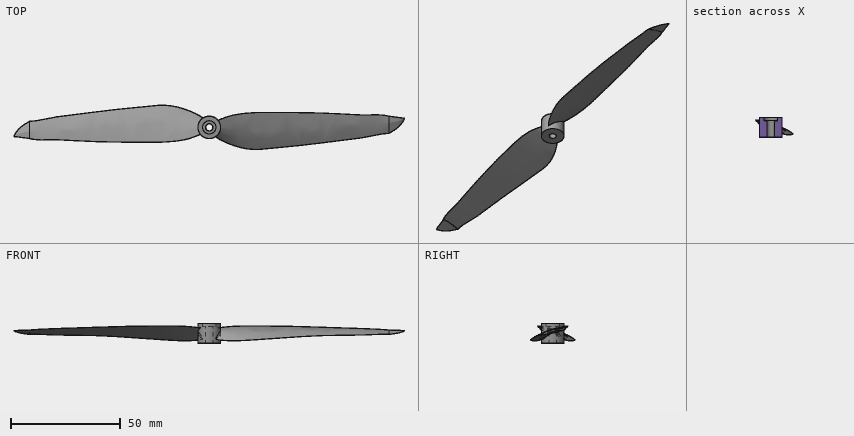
import cadquery as cq

diameter = 177.6
blade_tip_x = diameter / 2

hub_radius = 5.2
hub_height = 9.0
shaft_radius = 1.6
counterbore_radius = 3.0
counterbore_depth = 1.5

ridge_fraction = 0.4
root_thickness = 1.2
end_thickness = 0.5
tip_start_x = 81.7

blade_stations = [
    (3.0, (2.8, 2.5), (-4.5, -2.7)),
    (8.0, (4.8, 3.0), (-7.1, -3.4)),
    (14.2, (6.2, 3.4), (-9.2, -3.4)),
    (20.5, (6.8, 3.4), (-10.1, -3.0)),
    (30.2, (7.0, 3.4), (-9.5, -2.3)),
    (40.9, (6.8, 3.2), (-8.3, -1.6)),
    (51.5, (6.5, 2.8), (-7.1, -1.0)),
    (62.2, (6.0, 2.5), (-5.7, -0.9)),
    (72.8, (5.7, 2.1), (-4.3, -0.7)),
    (tip_start_x, (5.2, 1.6), (-2.8, -0.5)),
]

tip_stations = [
    blade_stations[-1],
    (84.4, (4.8, 1.5), (-1.2, -0.2)),
    (87.0, (4.5, 1.5), (1.0, 0.4)),
    (blade_tip_x, (4.3, 1.2), (3.7, 1.0)),
]


def ridge_point(x, leading, trailing, thickness):
    """Highest point of a section, raised above its chord line along Z."""
    y, z = (a + ridge_fraction * (b - a) for a, b in zip(leading, trailing))
    return cq.Vector(x, y, z + thickness)


def section(x, leading, trailing, thickness, smooth_top):
    """Closed blade section with either a curved or a creased top."""
    front = cq.Vector(x, *leading)
    back = cq.Vector(x, *trailing)
    ridge = ridge_point(x, leading, trailing, thickness)
    if smooth_top:
        top = [cq.Edge.makeSpline([front, ridge, back])]
    else:
        top = [cq.Edge.makeLine(front, ridge), cq.Edge.makeLine(ridge, back)]
    return cq.Wire.assembleEdges(top + [cq.Edge.makeLine(back, front)])


def thickness_at(x):
    """Thickness tapers evenly from the hub axis to the start of the tip."""
    return root_thickness + (end_thickness - root_thickness) * x / tip_start_x


def make_blade():
    return cq.Solid.makeLoft([
        section(x, leading, trailing, thickness_at(x), True)
        for x, leading, trailing in blade_stations
    ])


def make_tip():
    """Creased tip whose thickness shrinks in step with its chord."""
    _, first_leading, first_trailing = tip_stations[0]
    full_chord = first_leading[0] - first_trailing[0]
    sections = []
    for x, leading, trailing in tip_stations:
        thickness = end_thickness * (leading[0] - trailing[0]) / full_chord
        sections.append(section(x, leading, trailing, thickness, False))
    return cq.Solid.makeLoft(sections)


def make_hub_bore():
    """Shaft hole with a counterbore in the top face."""
    shaft = cq.Workplane("XY").circle(shaft_radius).extrude(hub_height, both=True)
    counterbore = (
        cq.Workplane("XY", origin=(0, 0, hub_height / 2 - counterbore_depth))
        .circle(counterbore_radius)
        .extrude(hub_height)
    )
    return shaft.union(counterbore)


hub = cq.Workplane("XY").circle(hub_radius).extrude(hub_height / 2, both=True)
blade = cq.Workplane(make_blade()).union(cq.Workplane(make_tip()))
opposite_blade = blade.rotate((0, 0, 0), (0, 0, 1), 180)

result = hub.union(blade).union(opposite_blade).cut(make_hub_bore())